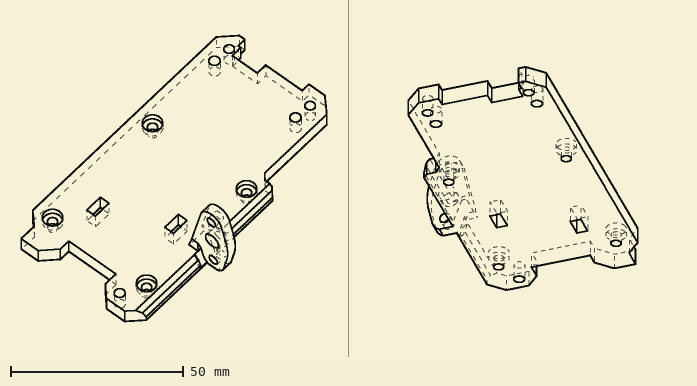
import cadquery as cq
import math

length = 96.35
width = 48.2
narrow_width = 42.4
thickness = 5.2

bevel_start_x = 46.0
bevel_size = 1.4
steep_bottom_z = 1.7
bevel_end_x = bevel_start_x + bevel_size
bevel_end_z = thickness - bevel_size
steep_slope = (bevel_end_z - steep_bottom_z) / (width - bevel_end_x)

corner_hole_spacing = 31.0
small_corner_holes = (5.7, 90.8, 3.1)
large_corner_holes = (5.2, 84.8, 3.3)
front_hole = (38.4, 3.95, 3.2)
screw_hole_diameter = 3.0
screw_head_diameter = 6.0
screw_head_depth = 2.0
screw_columns = (6.1, 42.1)
screw_rows = (11.7, 56.2)

slot_size_x = 3.3
slot_size_y = 6.1
slot_centers = ((13.5, 23.2), (34.7, 33.3))

arm_front_y = 31.5
arm_thickness = 3.5
arm_back_y = arm_front_y + arm_thickness
arm_height = 25.6
arm_reach_x = 56.1
arm_end_radius = 4.0
arm_foot_top_z = 6.9
top_hole_x = 49.8
top_hole_z = arm_height - arm_end_radius
middle_hole_x = 50.1
middle_hole_z = 12.6
lower_hole_x = 50.6
lower_hole_z = 3.7
small_arm_hole_diameter = 3.2
middle_hole_diameter = 5.0
widest_z = 11.7
bulge_top_x = 55.5
bulge_top_z = 16.3
bulge_bottom_x = 55.8
bulge_bottom_z = 8.6
end_blend_angle = math.radians(15)
lower_arc_middle_angle = math.radians(-40)

back_gusset_size = 4.9
front_gusset_size = 1.35
clearance_depth = 2.9
clearance_radius = arm_end_radius
clearance_wall_angle = math.radians(17)
clearance_arc_middle_angle = math.radians(-135)


def drill(x, y, diameter):
    return cq.Workplane("XY").center(x, y).circle(diameter / 2).extrude(thickness)


def extrude_along_y(profile, y_start, y_end):
    """Extrude an XZ profile, drawn on the XZ plane, between two Y positions."""
    return profile.extrude(y_start - y_end).translate((0, y_start, 0))


def on_circle(center_x, center_z, radius, angle):
    return (center_x + radius * math.cos(angle), center_z + radius * math.sin(angle))


def make_plate():
    outline = [
        (4.0, 0), (10.6, 0), (15.1, 4.6), (15.1, 8.4),
        (33.1, 8.4), (33.1, 3.8), (36.8, 0), (43.7, 0),
        (width, 4.4), (width, 60.7), (46.8, 62.05), (44.1, 62.05),
        (narrow_width, 64.0), (narrow_width, 91.6), (37.6, length), (31.4, length),
        (31.4, 93.4), (17.4, 93.4), (17.4, 89.6), (7.9, 89.6),
        (7.9, 93.4), (6.9, 93.4), (6.9, length), (4.7, length),
        (0, 91.6), (0, 9.8), (1.5, 8.5), (4.0, 5.9),
    ]
    plate = cq.Workplane("XY").polyline(outline).close().extrude(thickness)
    bevel_waste = cq.Workplane("XZ").polyline([
        (bevel_start_x, thickness), (bevel_end_x, bevel_end_z),
        (width, steep_bottom_z), (width, thickness),
    ]).close()
    plate = plate.cut(extrude_along_y(bevel_waste, 0, length))

    for x, y, diameter in (small_corner_holes, large_corner_holes):
        plate = plate.cut(drill(x, y, diameter))
        plate = plate.cut(drill(x + corner_hole_spacing, y, diameter))
    plate = plate.cut(drill(*front_hole))

    for x in screw_columns:
        for y in screw_rows:
            recess = drill(x, y, screw_head_diameter).translate((0, 0, thickness - screw_head_depth))
            plate = plate.cut(drill(x, y, screw_hole_diameter)).cut(recess)

    slots = cq.Workplane("XY").pushPoints(slot_centers).rect(slot_size_x, slot_size_y).extrude(thickness)
    return plate.cut(slots)


def left_tangent_point():
    """Point where the straight left side of the arm touches its rounded top."""
    dx = top_hole_x - narrow_width
    dz = top_hole_z - arm_foot_top_z
    angle = math.atan2(dz, dx) + math.asin(arm_end_radius / math.hypot(dx, dz)) + math.pi / 2
    return on_circle(top_hole_x, top_hole_z, arm_end_radius, angle)


def make_arm():
    bottom_half = math.sqrt(arm_end_radius**2 - lower_hole_z**2)
    profile = (
        cq.Workplane("XZ")
        .moveTo(narrow_width, 0)
        .lineTo(narrow_width, arm_foot_top_z)
        .lineTo(*left_tangent_point())
        .threePointArc(
            (top_hole_x, arm_height),
            on_circle(top_hole_x, top_hole_z, arm_end_radius, end_blend_angle),
        )
        .lineTo(bulge_top_x, bulge_top_z)
        .threePointArc(
            (arm_reach_x, widest_z),
            (bulge_bottom_x, bulge_bottom_z),
        )
        .lineTo(*on_circle(lower_hole_x, lower_hole_z, arm_end_radius, -end_blend_angle))
        .threePointArc(
            on_circle(lower_hole_x, lower_hole_z, arm_end_radius, lower_arc_middle_angle),
            (lower_hole_x + bottom_half, 0),
        )
        .close()
    )
    return extrude_along_y(profile, arm_front_y, arm_back_y)


def make_gusset(arm_face_y, size, direction, profile):
    """45 degree wedge against an arm face, trimmed to an XZ profile."""
    reach = size + thickness
    wedge = (
        cq.Workplane("YZ")
        .polyline([(arm_face_y, 0), (arm_face_y + direction * reach, 0), (arm_face_y, reach)])
        .close()
        .extrude(width)
    )
    y_ends = sorted((arm_face_y, arm_face_y + direction * reach))
    return wedge.intersect(extrude_along_y(profile, *y_ends))


def make_back_gusset():
    top_z = thickness + back_gusset_size
    tangent_x, tangent_z = left_tangent_point()
    lean = (tangent_x - narrow_width) / (tangent_z - arm_foot_top_z)
    profile = cq.Workplane("XZ").polyline([
        (narrow_width, 0), (narrow_width, arm_foot_top_z),
        (narrow_width + lean * (top_z - arm_foot_top_z), top_z),
        (width - (top_z - steep_bottom_z) / steep_slope, top_z),
        (width, steep_bottom_z), (width, 0),
    ]).close()
    return make_gusset(arm_back_y, back_gusset_size, 1, profile)


def make_front_gusset():
    top_z = thickness + front_gusset_size
    profile = cq.Workplane("XZ").polyline([
        (narrow_width, 0), (narrow_width, top_z), (bevel_start_x - front_gusset_size, top_z),
        (bevel_end_x, bevel_end_z), (width, steep_bottom_z), (width, 0),
    ]).close()
    return make_gusset(arm_front_y, front_gusset_size, -1, profile)


def make_clearance():
    """Round relief about the lower arm hole with a steep flat wall tangent to it."""
    wall_x, wall_z = on_circle(
        lower_hole_x, lower_hole_z, clearance_radius, math.pi + clearance_wall_angle
    )
    wall_top_x = wall_x - (thickness - wall_z) * math.tan(clearance_wall_angle)
    profile = (
        cq.Workplane("XZ")
        .moveTo(wall_top_x, thickness)
        .lineTo(wall_x, wall_z)
        .threePointArc(
            on_circle(lower_hole_x, lower_hole_z, clearance_radius, clearance_arc_middle_angle),
            (lower_hole_x, lower_hole_z - clearance_radius),
        )
        .lineTo(lower_hole_x, thickness)
        .close()
    )
    return extrude_along_y(profile, arm_front_y - clearance_depth, arm_front_y)


def make_arm_holes():
    holes = cq.Workplane("XZ").pushPoints([(top_hole_x, top_hole_z), (lower_hole_x, lower_hole_z)])
    holes = holes.circle(small_arm_hole_diameter / 2)
    holes = holes.moveTo(middle_hole_x, middle_hole_z).circle(middle_hole_diameter / 2)
    return extrude_along_y(holes, arm_front_y, arm_back_y)


body = make_plate().union(make_front_gusset()).union(make_back_gusset())
body = body.cut(make_clearance())
result = body.union(make_arm()).cut(make_arm_holes())